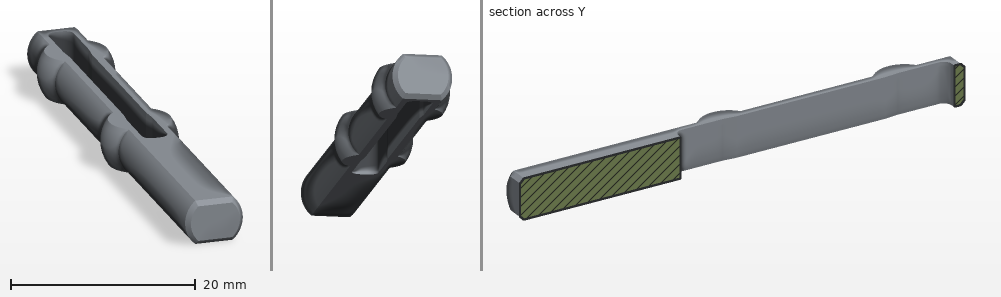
import cadquery as cq

length = 56.25
height = 5.0
rod_diameter = 6.6
end_chamfer = 0.5

ball_diameter = 8.55
first_ball_x = 7.55
ball_spacing = 22.2
ball_positions = [first_ball_x, first_ball_x + ball_spacing]

slot_start = 1.35
slot_end = 35.9
slot_end_width = 2.85
slot_middle_width = 2.55
slot_taper_length = 1.7
slot_corner_radius = 1.0


def flatted_rod():
    rod = cq.Workplane("YZ").circle(rod_diameter / 2).extrude(length)
    flats = cq.Workplane("XY").box(length, rod_diameter, height).translate((length / 2, 0, 0))
    return rod.intersect(flats).faces("<X or >X").edges().chamfer(end_chamfer)


def flatted_ball(x):
    flats = cq.Workplane("XY").box(ball_diameter, ball_diameter, height)
    return cq.Workplane("XY").sphere(ball_diameter / 2).intersect(flats).translate((x, 0, 0))


def slot_cutter():
    wide = slot_end_width / 2
    narrow = slot_middle_width / 2
    first_ball, second_ball = ball_positions
    upper_side = [
        (slot_start, wide),
        (first_ball, wide),
        (first_ball + slot_taper_length, narrow),
        (second_ball - slot_taper_length, narrow),
        (second_ball, wide),
        (slot_end, wide),
    ]
    lower_side = [(x, -y) for x, y in reversed(upper_side)]
    cutter = cq.Workplane("XY").polyline(upper_side + lower_side).close().extrude(height / 2, both=True)
    return cutter.faces("<X or >X").edges("|Z").fillet(slot_corner_radius)


result = flatted_rod()
for ball_x in ball_positions:
    result = result.union(flatted_ball(ball_x))
result = result.cut(slot_cutter())